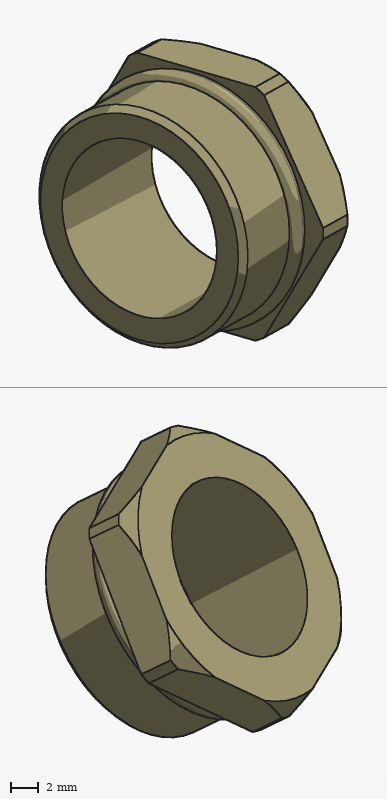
import cadquery as cq
import math

across_flats = 20.0
corner_diameter = 22.6
head_length = 4.0
head_chamfer_length = 1.0
head_end_diameter = 20.6

spigot_diameter = 18.6
spigot_length = 7.0
spigot_chamfer = 0.5
bore_diameter = 13.76

ring_diameter = across_flats
ring_thickness = 1.4

total_length = head_length + spigot_length
head_end = total_length / 2
spigot_end = -total_length / 2
shoulder = head_end - head_length


def cylinder(diameter, start, length):
    """Cylinder on the Y axis, extending from start towards +Y."""
    plane = cq.Workplane("XZ", origin=(0, start, 0))
    return plane.circle(diameter / 2).extrude(-length)


def make_head():
    """Hexagon with rounded-off corners and a conical chamfer on its outer end."""
    hexagon = (
        cq.Workplane("XZ", origin=(0, shoulder, 0))
        .polygon(6, across_flats / math.cos(math.pi / 6))
        .extrude(-head_length)
    )
    chamfer_start = head_end - head_chamfer_length
    envelope = (
        cq.Workplane("XY")
        .moveTo(0, shoulder)
        .lineTo(corner_diameter / 2, shoulder)
        .lineTo(corner_diameter / 2, chamfer_start)
        .lineTo(head_end_diameter / 2, head_end)
        .lineTo(0, head_end)
        .close()
        .revolve(360, (0, 0, 0), (0, 1, 0))
    )
    return hexagon.intersect(envelope)


def make_spigot():
    """Cylinder with a chamfered free end."""
    spigot = cylinder(spigot_diameter, spigot_end, spigot_length)
    return spigot.faces("<Y").chamfer(spigot_chamfer)


def make_ring():
    """Round-section ring touching the shoulder of the head."""
    section_radius = ring_thickness / 2
    centre_radius = ring_diameter / 2 - section_radius
    return (
        cq.Workplane("XY")
        .moveTo(centre_radius, shoulder - section_radius)
        .circle(section_radius)
        .revolve(360, (0, 0, 0), (0, 1, 0))
    )


bore = cylinder(bore_diameter, spigot_end, total_length)
result = make_head().union(make_spigot()).union(make_ring()).cut(bore)